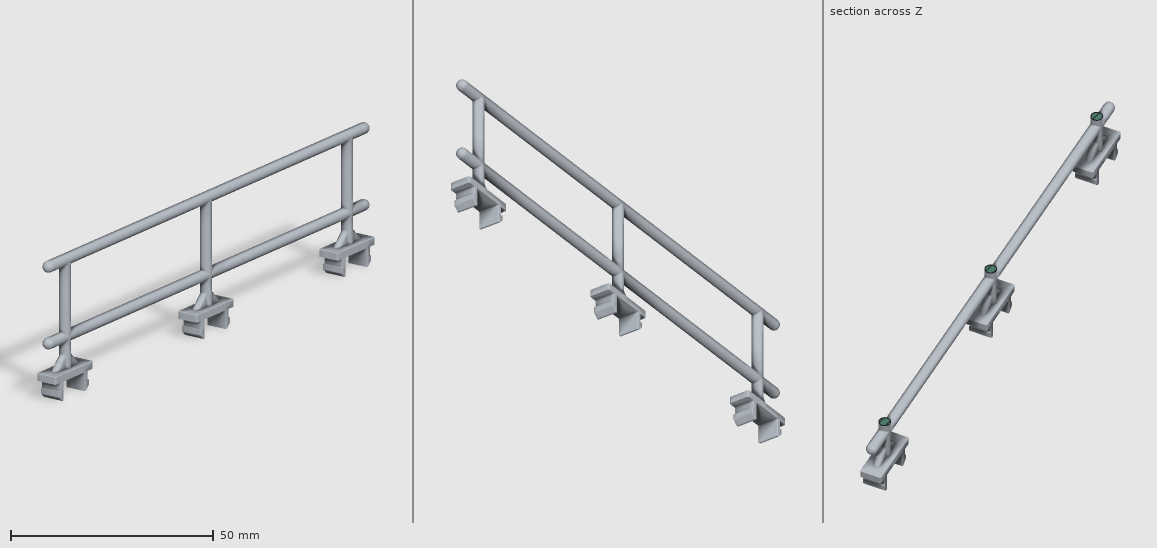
import cadquery as cq
import math

rail_length = 137.0
rod_diameter = 3.0
rod_radius = rod_diameter / 2
overall_height = 36.5
top_rail_z = overall_height - rod_radius
rail_spacing = 20.0
lower_rail_z = top_rail_z - rail_spacing
post_spacing = 60.0
post_positions = (-post_spacing, 0.0, post_spacing)

foot_length = 16.0
foot_width = 5.8
foot_thickness = 2.0
foot_bottom_z = 5.0
foot_top_z = foot_bottom_z + foot_thickness
foot_corner_radius = 0.5
foot_rim_radius = 0.2

brace_radius = 1.0
brace_reach = 5.2

leg_inner_y = 4.5
leg_outer_y = 5.75
barb_outer_y = 6.25
barb_top_z = 2.7
barb_bottom_z = 1.2
leg_tip_width = 0.5
leg_edge_radius = 0.2


def make_rail(z):
    """Horizontal round rail along Y with hemispherical ends, revolved from a half outline."""
    end_y = rail_length / 2
    shoulder_y = end_y - rod_radius
    arc_offset = rod_radius * math.sqrt(0.5)
    outline = (
        cq.Workplane("YZ", origin=(0, 0, z))
        .moveTo(-end_y, 0)
        .threePointArc((-shoulder_y - arc_offset, arc_offset), (-shoulder_y, rod_radius))
        .lineTo(shoulder_y, rod_radius)
        .threePointArc((shoulder_y + arc_offset, arc_offset), (end_y, 0))
        .close()
    )
    return outline.revolve(360, (0, 0, 0), (1, 0, 0))


def make_post():
    """Upright from inside the foot plate to the axis of the top rail."""
    post_height = top_rail_z - foot_bottom_z
    return cq.Workplane("XY", origin=(0, 0, foot_bottom_z)).circle(rod_radius).extrude(post_height)


def make_foot_plate():
    """Rectangular plate with rounded corners and a rounded top rim."""
    plate = cq.Workplane("XY", origin=(0, 0, foot_bottom_z)).rect(foot_width, foot_length)
    plate = plate.extrude(foot_thickness).edges("|Z").fillet(foot_corner_radius)
    return plate.faces(">Z").edges().fillet(foot_rim_radius)


def make_brace():
    """45 degree rib on the +Y side of the post, its sloping crest rounded to a half circle."""
    crest_z = foot_top_z + brace_reach
    drop = crest_z - foot_bottom_z
    triangle = [(0, foot_bottom_z), (drop, foot_bottom_z), (0, crest_z)]
    rib = cq.Workplane("YZ").polyline(triangle).close().extrude(brace_radius, both=True)

    slope = cq.Plane(origin=(0, 0, crest_z), xDir=(1, 0, 0), normal=(0, -1, 1))
    section = (
        cq.Workplane(slope)
        .moveTo(-brace_radius, -drop)
        .lineTo(-brace_radius, -brace_radius)
        .threePointArc((0, 0), (brace_radius, -brace_radius))
        .lineTo(brace_radius, -drop)
        .close()
    )
    return rib.intersect(section.extrude(2 * drop, both=True))


def make_leg():
    """Snap leg on the +Y side with an outward barb, a tapered tip and rounded side edges."""
    root_z = foot_bottom_z + foot_thickness / 2
    outline = [
        (leg_inner_y, root_z),
        (leg_outer_y, root_z),
        (leg_outer_y, barb_top_z),
        (barb_outer_y, barb_top_z),
        (barb_outer_y, barb_bottom_z),
        (leg_inner_y + leg_tip_width, 0),
        (leg_inner_y, 0),
    ]
    leg = cq.Workplane("YZ").polyline(outline).close().extrude(foot_width / 2, both=True)
    return leg.faces("<X or >X").edges().fillet(leg_edge_radius)


def make_stanchion():
    """Post with its foot plate, two braces and two snap legs, centred on Y = 0."""
    stanchion = make_post().union(make_foot_plate())
    for side_part in (make_brace(), make_leg()):
        stanchion = stanchion.union(side_part).union(side_part.mirror("XZ"))
    return stanchion


result = make_rail(top_rail_z).union(make_rail(lower_rail_z))
stanchion = make_stanchion()
for post_y in post_positions:
    result = result.union(stanchion.translate((0, post_y, 0)))